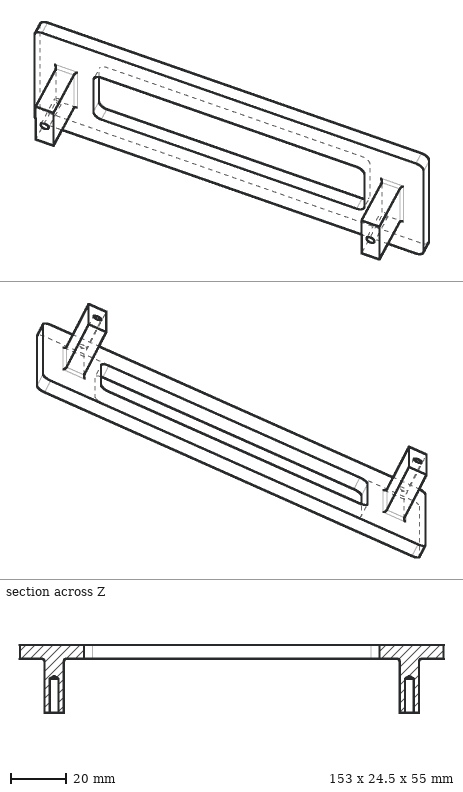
import cadquery as cq

plate_length = 153.0
plate_height = 55.0
plate_thickness = 5.0
corner_radius = 3.0

window_length = 106.5
window_height = 25.4

total_depth = 24.5
post_length = total_depth - plate_thickness
post_width = 7.0
post_height = 20.0
post_spacing = 128.0
post_root_fillet = 1.0

hole_diameter = 3.0
hole_depth = 12.2
drill_tip_depth = 0.9


def rounded_slab(length, height):
    """Slab as thick as the plate, with four rounded corners."""
    return (
        cq.Workplane("XY")
        .box(length, plate_thickness, height)
        .translate((0, plate_thickness / 2, 0))
        .edges("|Y")
        .fillet(corner_radius)
    )


def post(x):
    """Rectangular post running forward from the plate."""
    return (
        cq.Workplane("XY")
        .box(post_width, post_length, post_height)
        .translate((x, -post_length / 2, 0))
    )


def root_edges(x):
    """Selector for the edges where a post meets the plate."""
    reach_x = post_width / 2 + post_root_fillet
    reach_z = post_height / 2 + post_root_fillet
    return cq.selectors.BoxSelector(
        (x - reach_x, -post_root_fillet, -reach_z),
        (x + reach_x, post_root_fillet, reach_z),
    )


def screw_hole(x):
    """Drilled hole revolved about the post's long axis."""
    radius = hole_diameter / 2
    mouth_y = -post_length
    shoulder_y = mouth_y + hole_depth
    return (
        cq.Workplane("XY")
        .moveTo(0, mouth_y)
        .lineTo(radius, mouth_y)
        .lineTo(radius, shoulder_y)
        .lineTo(0, shoulder_y + drill_tip_depth)
        .close()
        .revolve(360, (0, 0, 0), (0, 1, 0))
        .translate((x, 0, 0))
    )


result = rounded_slab(plate_length, plate_height).cut(rounded_slab(window_length, window_height))

for post_x in (-post_spacing / 2, post_spacing / 2):
    result = result.union(post(post_x))
    result = result.edges(root_edges(post_x)).fillet(post_root_fillet)
    result = result.cut(screw_hole(post_x))